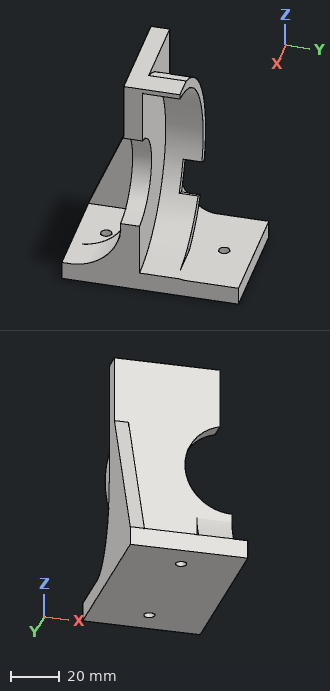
import cadquery as cq
import math

width = 50.0
depth = 75.0
height = 96.8
base_thickness = 8.0

wall_front = 25.0
wall_thickness = 8.0
wall_back = wall_front + wall_thickness
upper_setback = 5.0

axis_x = width
axis_z = 51.7
bore_radius = 19.9
cup_outer_radius = 47.6
cup_rim = 4.4
cup_inner_radius = cup_outer_radius - cup_rim
cup_length = 15.9
cup_back = wall_back + cup_length

slot_width = 14.1
slot_angle = 26.7
slot_length = 8.0

blend_run = 19.9
blend_top = 45.0
blend_rise = blend_top - base_thickness

gusset_thickness = 6.0
gusset_top = 68.0
cove_reach = 19.9
cove_sagitta = 5.0
cove_width = 15.0

hole_diameter = 4.55
hole_inset = 12.5


def block(x, y, z, size_x, size_y, size_z):
    """Box with its lowest corner at (x, y, z)."""
    return cq.Workplane("XY").box(size_x, size_y, size_z, centered=False).translate((x, y, z))


def axis_cylinder(radius, y_start, length):
    """Cylinder on the cup axis, running toward +Y."""
    plane = cq.Plane(origin=(axis_x, y_start, axis_z), xDir=(1, 0, 0), normal=(0, 1, 0))
    return cq.Workplane(plane).circle(radius).extrude(length)


def back_blend():
    """Concave quarter-ellipse fillet across the full width."""
    blend_end = wall_back + blend_run
    corner = (
        cq.Workplane("YZ")
        .moveTo(wall_back, base_thickness)
        .lineTo(blend_end, base_thickness)
        .lineTo(blend_end, blend_top)
        .lineTo(wall_back, blend_top)
        .close()
        .extrude(width)
    )
    hollow = cq.Workplane("YZ").center(blend_end, blend_top).ellipse(blend_run, blend_rise).extrude(width)
    return corner.cut(hollow)


def side_gusset():
    """Triangular web along the -X edge."""
    return (
        cq.Workplane("YZ")
        .moveTo(0, base_thickness)
        .lineTo(wall_front, base_thickness)
        .lineTo(wall_front, gusset_top)
        .close()
        .extrude(gusset_thickness)
    )


def cove_support():
    """Concave circular-arc support, shallower than a quarter circle, on the +X side."""
    middle = cove_reach / 2 + cove_sagitta * math.sqrt(0.5)
    toe = wall_front - cove_reach
    top = base_thickness + cove_reach
    return (
        cq.Workplane("YZ", origin=(width - cove_width, 0, 0))
        .moveTo(wall_front, base_thickness)
        .lineTo(toe, base_thickness)
        .threePointArc((toe + middle, top - middle), (wall_front, top))
        .close()
        .extrude(cove_width)
    )


def rim_slot():
    """Slot cutter reaching from the cup axis past the outer rim, open at the back."""
    reach = cup_outer_radius + cup_rim
    cutter = block(
        axis_x - reach, cup_back - slot_length, axis_z - slot_width / 2,
        reach, slot_length, slot_width,
    )
    return cutter.rotate((axis_x, 0, axis_z), (axis_x, -1, axis_z), slot_angle)


base = block(0, 0, 0, width, depth, base_thickness)
wall = block(0, wall_front, 0, width, wall_thickness, height)
cup = axis_cylinder(cup_outer_radius, wall_back, cup_length)
cup = cup.intersect(block(0, 0, 0, width, depth, height))
cup = cup.cut(rim_slot())

result = base.union(wall).union(cup).union(back_blend())
result = result.union(side_gusset()).union(cove_support())

result = result.cut(axis_cylinder(cup_inner_radius, wall_back, depth - wall_back))
result = result.cut(axis_cylinder(bore_radius, wall_front, wall_thickness))

result = result.cut(block(width - upper_setback, 0, axis_z, upper_setback, depth, height))

hole_positions = [(width / 2, hole_inset), (width / 2, depth - hole_inset)]
holes = cq.Workplane("XY").pushPoints(hole_positions).circle(hole_diameter / 2).extrude(base_thickness)
result = result.cut(holes)